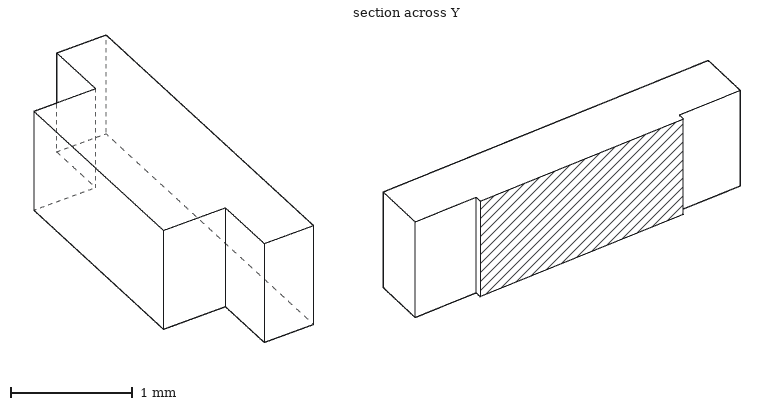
import cadquery as cq

flange_length = 3.2
stem_length = 2.0
total_depth = 1.08
flange_depth = 0.48
height = 1.0

stem_depth = total_depth - flange_depth

flange = cq.Workplane("XY").box(flange_length, flange_depth, height, centered=(True, False, False))

stem = (
    cq.Workplane("XY")
    .box(stem_length, stem_depth, height, centered=(True, False, False))
    .translate((0, -stem_depth, 0))
)

result = flange.union(stem)